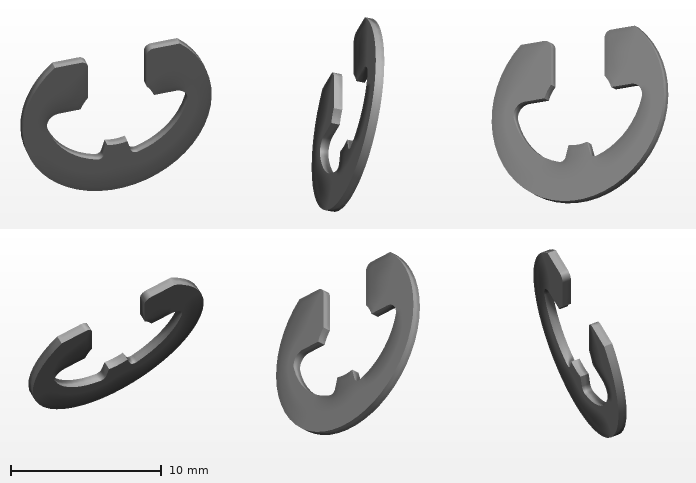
import cadquery as cq
import math

thickness = 0.6
outer_radius = 6.55
top_height = 4.91
shaft_radius = 2.7

mouth_width = 4.06
jaw_corner_radius = 0.5

shelf_height = 0.91
pocket_radius = 5.02
pocket_center_height = 1.13
pocket_corner_radius = 0.85

tooth_tip_width = 1.4
tooth_flank_angle = 16.0
tooth_root_radius = 0.4

tooth_tip_height = -math.sqrt(shaft_radius**2 - (tooth_tip_width / 2) ** 2)


def sheet():
    """Sketch plane at the back face; local axes are the part's Y and Z."""
    return cq.Workplane("YZ", origin=(-thickness / 2, 0, 0))


def block(width, bottom, top):
    """Rectangular plate symmetric about the Z axis."""
    return (
        sheet()
        .center(0, (bottom + top) / 2)
        .rect(width, top - bottom)
        .extrude(thickness)
    )


def make_tooth():
    """Tapered tooth rising from below the pocket floor; the bore hollows its tip."""
    taper = math.tan(math.radians(tooth_flank_angle))
    half_tip = tooth_tip_width / 2
    half_base = half_tip + (outer_radius + tooth_tip_height) * taper
    return (
        sheet()
        .moveTo(-half_base, -outer_radius)
        .lineTo(half_base, -outer_radius)
        .lineTo(half_tip, tooth_tip_height)
        .lineTo(-half_tip, tooth_tip_height)
        .close()
        .extrude(thickness)
    )


def make_pocket():
    """Round-bottomed pocket under the jaws, with the tooth left standing in it."""
    disc = sheet().center(0, pocket_center_height).circle(pocket_radius).extrude(thickness)
    pocket = disc.intersect(block(2 * outer_radius, -outer_radius, shelf_height))
    pocket = pocket.edges("|X and >Z").fillet(pocket_corner_radius)
    pocket = pocket.cut(make_tooth())
    return pocket.edges("|X and <Z").fillet(tooth_root_radius)


def make_body():
    """Disc cut flat at the top and split by the mouth into two rounded jaws."""
    disc = sheet().circle(outer_radius).extrude(thickness)
    body = disc.intersect(block(2 * outer_radius, -outer_radius, top_height))
    body = body.cut(block(mouth_width, 0, top_height))
    mouth_corners = cq.selectors.BoxSelector(
        (-thickness, -mouth_width / 2 - jaw_corner_radius, top_height - jaw_corner_radius),
        (thickness, mouth_width / 2 + jaw_corner_radius, top_height + jaw_corner_radius),
    )
    return body.edges("|X").edges(mouth_corners).fillet(jaw_corner_radius)


bore = sheet().circle(shaft_radius).extrude(thickness)
result = make_body().cut(make_pocket()).cut(bore)